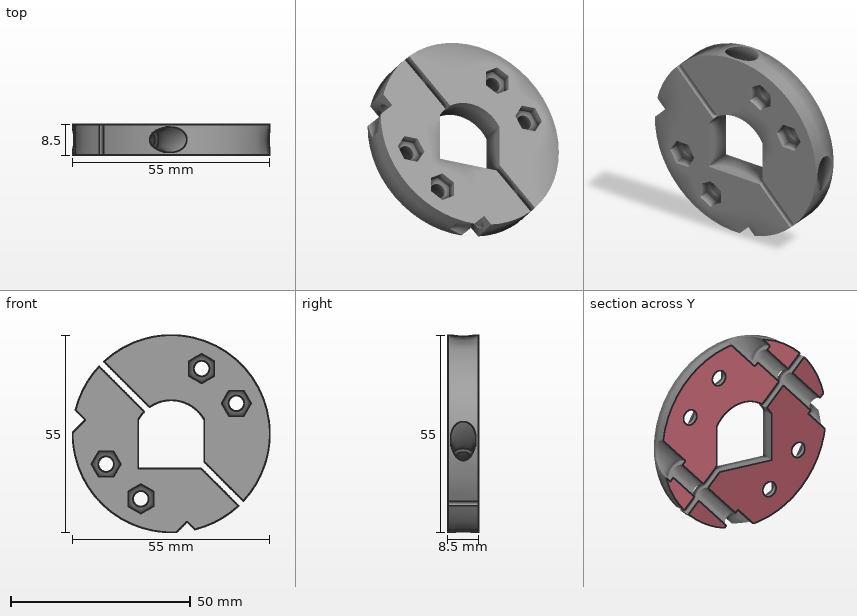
import cadquery as cq
import math

outer_diameter = 55.0
thickness = 8.5
gap_width = 1.9
gap_tilt = 45.0
big = 2 * outer_diameter

bore_half_width = 9.2
bore_bottom = -9.6
bore_top = 9.3
bore_shoulder = 3.9

bolt_diameter = 4.3
nut_across_flats = 7.1
nut_depth = 3.0
bolt_near = 8.45
bolt_far = 18.15

upper_screw_offset = 19.7
lower_screw_offset = -20.45
head_diameter = 7.1
head_seat = 11.1
clamp_nut_across_flats = 6.6
clamp_nut_seat = -14.2


def hexagon_diameter(across_flats):
    """Corner-to-corner size of a regular hexagon."""
    return across_flats / math.cos(math.pi / 6)


def closing_direction(shape):
    """Turn a shape whose X is the closing direction and Z the gap direction into place."""
    return shape.rotate((0, 0, 0), (0, 1, 0), -gap_tilt)


def make_disc():
    disc = (
        cq.Workplane("XZ", origin=(0, thickness / 2, 0))
        .circle(outer_diameter / 2)
        .extrude(thickness)
    )
    bore = (
        cq.Workplane("XZ", origin=(0, thickness / 2, 0))
        .moveTo(-bore_half_width, bore_bottom)
        .lineTo(bore_half_width, bore_bottom)
        .lineTo(bore_half_width, bore_shoulder)
        .threePointArc((0, bore_top), (-bore_half_width, bore_shoulder))
        .close()
        .extrude(thickness)
    )
    return disc.cut(bore)


def make_face_bolt(x, z, turn):
    """Through hole with a hexagonal nut pocket, its corners turned about Y."""
    hole = (
        cq.Workplane("XZ", origin=(x, thickness / 2, z))
        .circle(bolt_diameter / 2)
        .extrude(thickness)
    )
    pocket = (
        cq.Workplane("XZ", origin=(x, -thickness / 2, z))
        .transformed(rotate=(0, 0, turn))
        .polygon(6, hexagon_diameter(nut_across_flats))
        .extrude(-nut_depth)
    )
    return hole.union(pocket)


def make_clamp_screw(offset):
    """Screw hole, round head counterbore and nut pocket opening to the rim."""
    outward = math.copysign(1, offset)
    seat_plane = cq.Workplane("YZ", origin=(clamp_nut_seat, 0, offset))
    hole = seat_plane.circle(bolt_diameter / 2).extrude(outer_diameter)
    head = (
        cq.Workplane("YZ", origin=(head_seat, 0, offset))
        .circle(head_diameter / 2)
        .extrude(outer_diameter)
    )
    nut = seat_plane.polygon(6, hexagon_diameter(clamp_nut_across_flats)).extrude(-outer_diameter)
    rim_opening = (
        seat_plane.center(0, outward * outer_diameter / 2)
        .rect(2 * thickness, outer_diameter)
        .extrude(-outer_diameter)
    )
    return closing_direction(hole.union(head).union(nut).union(rim_opening))


def make_half(collar, side):
    """Part of the collar on the given side of the gap."""
    keep = cq.Workplane("XY").box(big, big, big).translate((side * (big + gap_width) / 2, 0, 0))
    return collar.intersect(closing_direction(keep))


collar = make_disc()
for side in (1, -1):
    collar = collar.cut(make_face_bolt(side * bolt_near, side * bolt_far, 30))
    collar = collar.cut(make_face_bolt(side * bolt_far, side * bolt_near, 0))
for offset in (upper_screw_offset, lower_screw_offset):
    collar = collar.cut(make_clamp_screw(offset))

upper_half = make_half(collar, 1)
lower_half = make_half(collar, -1)

result = cq.Compound.makeCompound([upper_half.val(), lower_half.val()])